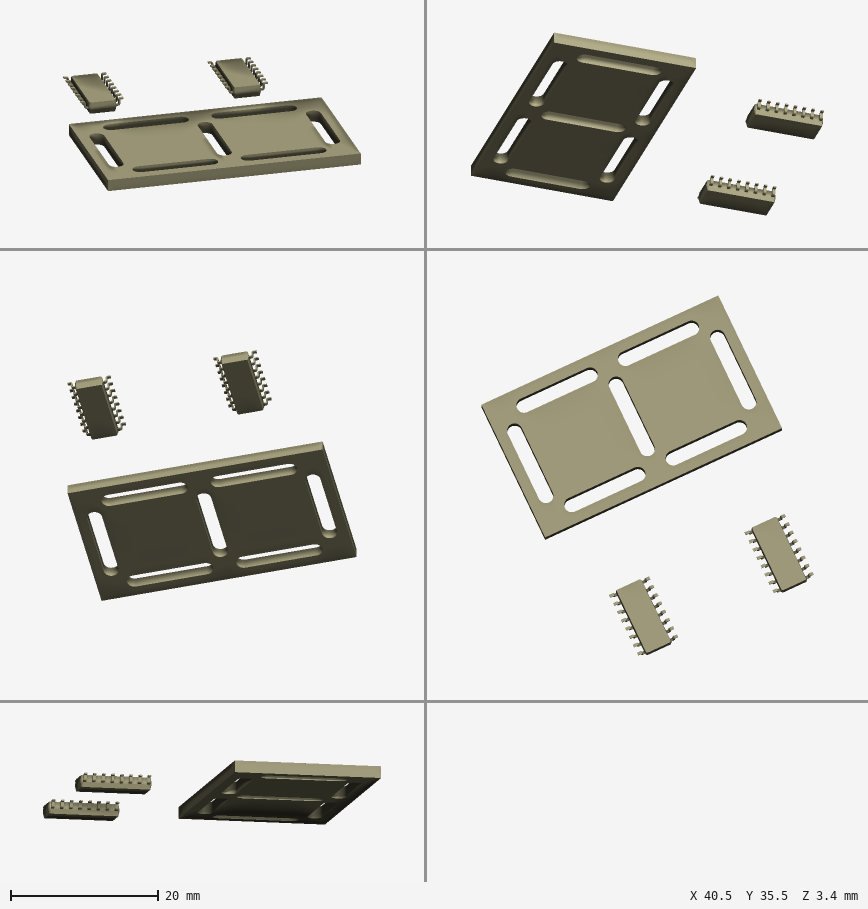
import cadquery as cq

PLATE_WIDTH = 20.35
PLATE_LENGTH = 35.55
PLATE_THICKNESS = 1.62

CELL_SIDE = 15.25
SLOT_LENGTH = 12.0
SLOT_WIDTH = 2.05

OVERALL_WIDTH = 40.5
OVERALL_HEIGHT = 3.4

CHIP_SPACING = 20.35
CHIP_LENGTH = 9.9
CHIP_WIDTH = 3.9
CHIP_DEPTH = OVERALL_HEIGHT - PLATE_THICKNESS
CHIP_X = PLATE_WIDTH / 2 - OVERALL_WIDTH + CHIP_LENGTH / 2

STANDOFF = 0.12
CORNER_CHAMFER = 0.2
UPPER_DRAFT = 8.0
LOWER_DRAFT = 13.0

LEADS_PER_SIDE = 8
LEAD_ROW_LENGTH = 8.87
LEAD_PITCH = LEAD_ROW_LENGTH / (LEADS_PER_SIDE - 1)
LEAD_SPAN = 6.0
LEAD_WIDTH = 0.4
LEAD_THICKNESS = 0.2
OUTER_BEND_RADIUS = 0.6 / 2
INNER_BEND_RADIUS = OUTER_BEND_RADIUS - LEAD_THICKNESS
LEAD_ROOT_DEPTH = 1.1
LEAD_UPRIGHT_REACH = 2.5
LEAD_EMBEDMENT = 0.4


def make_plate():
    plate = cq.Workplane("XY").rect(PLATE_WIDTH, PLATE_LENGTH).extrude(PLATE_THICKNESS)
    cross_slots = [(0, row * CELL_SIDE) for row in (-1, 0, 1)]
    side_slots = [(x * CELL_SIDE / 2, y * CELL_SIDE / 2) for x in (-1, 1) for y in (-1, 1)]
    for centers, angle in ((cross_slots, 0), (side_slots, 90)):
        slots = (
            cq.Workplane("XY")
            .pushPoints(centers)
            .slot2D(SLOT_LENGTH, SLOT_WIDTH, angle)
            .extrude(PLATE_THICKNESS)
        )
        plate = plate.cut(slots)
    return plate


def make_prism(height, draft=0):
    """Chamfered block rising from Z = 0 and narrowing by the draft angle."""
    outline = cq.Sketch().rect(CHIP_LENGTH, CHIP_WIDTH).vertices().chamfer(CORNER_CHAMFER)
    return cq.Workplane("XY").placeSketch(outline).extrude(height, taper=draft)


def make_package():
    band_top = LEAD_THICKNESS - LEAD_ROOT_DEPTH
    band = make_prism(LEAD_THICKNESS).translate((0, 0, -LEAD_ROOT_DEPTH))
    upper = make_prism(-STANDOFF - band_top, UPPER_DRAFT).translate((0, 0, band_top))
    lower = make_prism(CHIP_DEPTH - LEAD_ROOT_DEPTH, LOWER_DRAFT).mirror("XY")
    return band.union(upper).union(lower.translate((0, 0, -LEAD_ROOT_DEPTH)))


def make_lead():
    """Lead on the +Y side at X = 0: root in the package, upright, then foot."""
    root_y = CHIP_WIDTH / 2 - LEAD_EMBEDMENT
    outer_y = LEAD_UPRIGHT_REACH
    inner_y = outer_y - LEAD_THICKNESS
    tip_y = LEAD_SPAN / 2
    outline = (
        cq.Workplane("YZ", origin=(-LEAD_WIDTH / 2, 0, 0))
        .moveTo(root_y, -LEAD_ROOT_DEPTH)
        .lineTo(outer_y - OUTER_BEND_RADIUS, -LEAD_ROOT_DEPTH)
        .radiusArc((outer_y, OUTER_BEND_RADIUS - LEAD_ROOT_DEPTH), -OUTER_BEND_RADIUS)
        .lineTo(outer_y, -OUTER_BEND_RADIUS)
        .radiusArc((outer_y + INNER_BEND_RADIUS, -LEAD_THICKNESS), INNER_BEND_RADIUS)
        .lineTo(tip_y, -LEAD_THICKNESS)
        .lineTo(tip_y, 0)
        .lineTo(inner_y + OUTER_BEND_RADIUS, 0)
        .radiusArc((inner_y, -OUTER_BEND_RADIUS), -OUTER_BEND_RADIUS)
        .lineTo(inner_y, OUTER_BEND_RADIUS - LEAD_ROOT_DEPTH)
        .radiusArc((inner_y - INNER_BEND_RADIUS, LEAD_THICKNESS - LEAD_ROOT_DEPTH), INNER_BEND_RADIUS)
        .lineTo(root_y, LEAD_THICKNESS - LEAD_ROOT_DEPTH)
        .close()
    )
    return outline.extrude(LEAD_WIDTH)


def make_chip():
    """One package with its two rows of leads, centred on the Z axis."""
    chip = make_package()
    lead = make_lead()
    for index in range(LEADS_PER_SIDE):
        lead_x = index * LEAD_PITCH - LEAD_ROW_LENGTH / 2
        chip = chip.union(lead.translate((lead_x, 0, 0)))
        chip = chip.union(lead.mirror("XZ").translate((lead_x, 0, 0)))
    return chip


plate = make_plate()
chip = make_chip()
chips = [chip.translate((CHIP_X, side * CHIP_SPACING / 2, 0)) for side in (-1, 1)]

result = cq.Compound.makeCompound([plate.solids().val(), *[placed.solids().val() for placed in chips]])